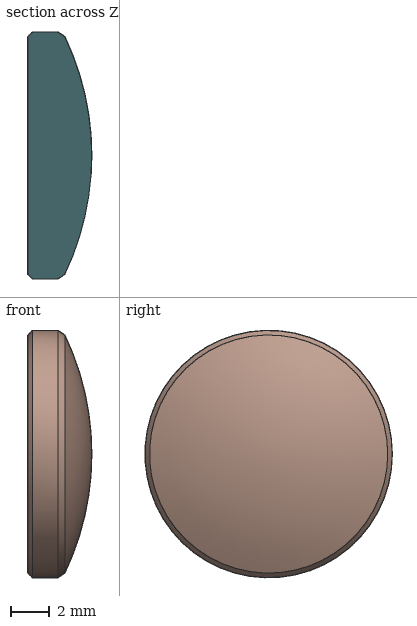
import cadquery as cq

diameter = 12.7
thickness = 3.3
flat_bevel = 0.25
front_bevel_start = 1.56
dome_start = 1.92
front_bevel_depth = 0.24

rim_radius = diameter / 2
flat_radius = rim_radius - flat_bevel
dome_edge_radius = rim_radius - front_bevel_depth

dome_height = thickness - dome_start
sphere_radius = (dome_edge_radius**2 + dome_height**2) / (2 * dome_height)
sphere_center = thickness - sphere_radius

mid_radius = dome_edge_radius / 2
mid_x = sphere_center + (sphere_radius**2 - mid_radius**2) ** 0.5

half_profile = (
    cq.Workplane("XY")
    .lineTo(0, flat_radius)
    .lineTo(flat_bevel, rim_radius)
    .lineTo(front_bevel_start, rim_radius)
    .lineTo(dome_start, dome_edge_radius)
    .threePointArc((mid_x, mid_radius), (thickness, 0))
    .close()
)

result = half_profile.revolve(360, (0, 0, 0), (1, 0, 0))